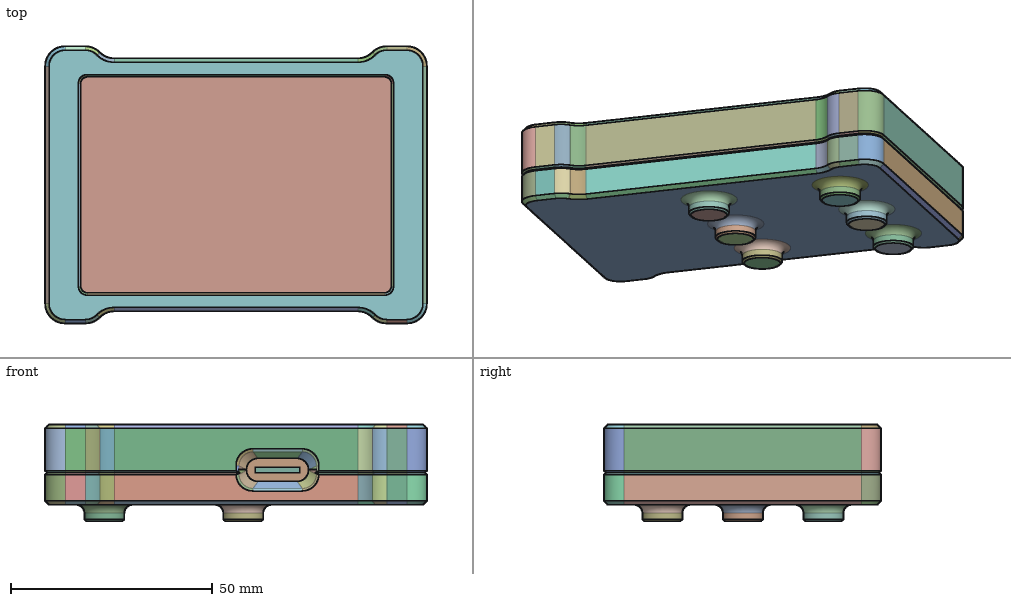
import cadquery as cq
import math

body_length = 94.9
body_width = 68.9
body_height = 20.0
outline_radius = 5.0
shoulder_inset = 12.1
waist_depth = 3.0
edge_chamfer = 1.0

groove_z = 8.0
groove_depth = 0.5

screen_length = 78.3
screen_width = 54.8
screen_corner_radius = 2.2
screen_depth = 1.0
screen_bevel = 0.6
bevel_angle = 45

foot_height = 4.07
foot_radius = 5.0
foot_fillet = 2.0
foot_chamfer = 0.5
foot_xs = (-32.7, 1.8)
foot_ys = (-19.9, 0.1, 20.1)

port_x = 10.3
port_z = 8.7
port_mouth_length = 19.2
port_mouth_height = 9.1
port_mouth_radius = 3.5
port_floor_length = 15.4
port_floor_height = 5.7
port_floor_radius = 2.8
port_depth = 2.0
port_bevel = 0.7
port_bevel_depth = 0.35
slot_length = 11.0
slot_height = 1.35
slot_depth = 0.1
lip_gap_z = 8.8
lip_gap_height = 0.2

half_length = body_length / 2
half_width = body_width / 2
waist_y = half_width - waist_depth


def outline_block(bottom, top):
    """Prism with the waisted case outline, its 45 degree shoulders and all upright edges rounded."""
    shoulder_x = half_length - shoulder_inset
    waist_x = shoulder_x - waist_depth
    half_side = [
        (half_length, half_width),
        (shoulder_x, half_width),
        (waist_x, waist_y),
    ]
    back = half_side + [(-x, y) for x, y in reversed(half_side)]
    front = [(x, -y) for x, y in reversed(back)]
    block = cq.Workplane("XY", origin=(0, 0, bottom)).polyline(back + front).close().extrude(top - bottom)
    return block.edges("|Z").fillet(outline_radius)


def rounded_rectangle(length, height, radius):
    """Sketch of a centred rectangle with rounded corners."""
    return cq.Sketch().rect(length, height).vertices().fillet(radius)


def shell(bottom, top, bottom_chamfer, top_chamfer):
    """One half of the case, with its own bottom and top edge chamfers."""
    block = outline_block(bottom, top)
    block = block.faces("<Z").edges().chamfer(bottom_chamfer)
    return block.faces(">Z").edges().chamfer(top_chamfer)


def case_body():
    """Two shells whose facing chamfers form the V-shaped parting groove."""
    lower = shell(0, groove_z, edge_chamfer, groove_depth)
    upper = shell(groove_z, body_height, groove_depth, edge_chamfer)
    return lower.union(upper)


def screen_recess():
    """Upright-walled recess with a 45 degree bevel around its rim."""
    floor_length = screen_length - 2 * screen_bevel
    floor_width = screen_width - 2 * screen_bevel
    floor_corner_radius = screen_corner_radius - screen_bevel
    top = cq.Workplane("XY", origin=(0, 0, body_height))
    rim = rounded_rectangle(screen_length, screen_width, screen_corner_radius)
    well = rounded_rectangle(floor_length, floor_width, floor_corner_radius)
    bevel = top.placeSketch(rim).extrude(-screen_bevel, taper=bevel_angle)
    return top.placeSketch(well).extrude(-screen_depth).union(bevel)


def foot(x, y):
    """Round foot with a concave fillet at its root and a chamfered tip."""
    fillet_mid = foot_fillet * (1 - math.sqrt(0.5))
    return (
        cq.Workplane("XZ")
        .moveTo(0, 0)
        .lineTo(foot_radius + foot_fillet, 0)
        .threePointArc((foot_radius + fillet_mid, -fillet_mid), (foot_radius, -foot_fillet))
        .lineTo(foot_radius, foot_chamfer - foot_height)
        .lineTo(foot_radius - foot_chamfer, -foot_height)
        .lineTo(0, -foot_height)
        .close()
        .revolve(360, (0, 0, 0), (0, 1, 0))
        .translate((x, y, 0))
    )


def port():
    """Funnel-shaped port with a bevelled rim, a shallow connector slot and a gap between the shells."""
    rim = rounded_rectangle(
        port_mouth_length + 2 * port_bevel,
        port_mouth_height + 2 * port_bevel,
        port_mouth_radius + port_bevel,
    )
    mouth = rounded_rectangle(port_mouth_length, port_mouth_height, port_mouth_radius)
    floor = rounded_rectangle(port_floor_length, port_floor_height, port_floor_radius)
    mouth = mouth.moved(cq.Location(cq.Vector(0, 0, -port_bevel_depth)))
    floor = floor.moved(cq.Location(cq.Vector(0, 0, -port_depth)))

    face = cq.Workplane("XZ", origin=(port_x, -waist_y, port_z))
    bevel = face.placeSketch(rim, mouth).loft()
    funnel = face.placeSketch(mouth, floor).loft()
    slot = face.workplane(offset=-port_depth).rect(slot_length, slot_height).extrude(-slot_depth)
    gap_z = lip_gap_z - port_z
    gap = (
        face.workplane(offset=-port_bevel_depth)
        .center(0, gap_z)
        .rect(port_mouth_length, lip_gap_height)
        .extrude(port_bevel_depth - port_depth)
    )
    return bevel.union(funnel).union(slot).union(gap)


result = case_body().cut(screen_recess())
for foot_x in foot_xs:
    for foot_y in foot_ys:
        result = result.union(foot(foot_x, foot_y))
result = result.cut(port())